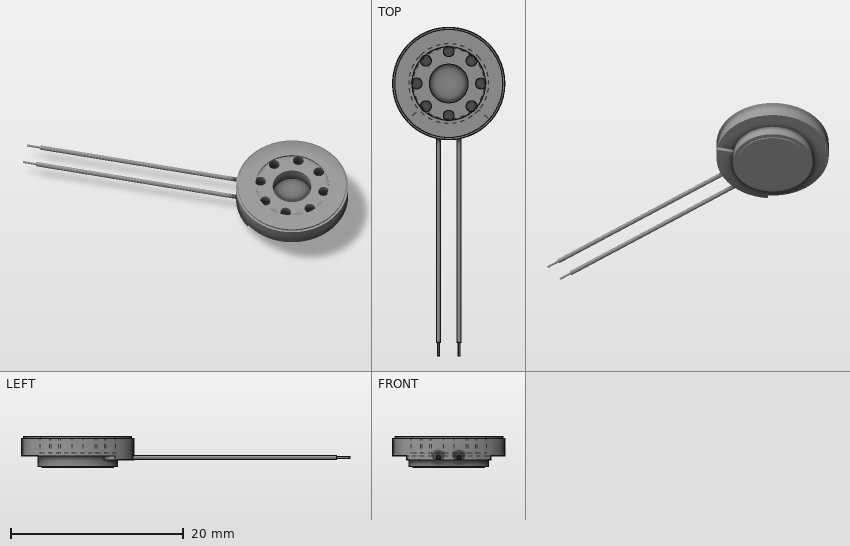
import cadquery as cq
import math

total_height = 3.6
cover_thickness = 0.23
flange_bottom = 1.35
tab_bottom = 0.9
base_lip_height = 0.1

flange_diameter = 13.0
cover_diameter = 12.5
cover_opening_diameter = 8.5
base_diameter = 9.25
base_lip_diameter = 8.25

tab_half_angle = math.radians(48.5)

center_hole_diameter = 4.5
hole_depth = 1.67
port_diameter = 1.25
port_count = 8
port_circle_radius = 3.72

overall_length = 38.0
lead_spacing = 2.4
insulation_diameter = 0.5
conductor_diameter = 0.235
bare_length = 1.55
lead_height = 1.18

flange_radius = flange_diameter / 2
face_z = total_height - cover_thickness
lead_tip_y = flange_radius - overall_length


def disc(diameter, bottom, top):
    """Upright cylinder on the Z axis between two heights."""
    return cq.Workplane("XY").workplane(offset=bottom).circle(diameter / 2).extrude(top - bottom)


def make_body():
    """Flange with a smaller cover ring above it and a stepped base below it."""
    flange = disc(flange_diameter, flange_bottom, face_z)
    cover = disc(cover_diameter, face_z, total_height)
    opening = disc(cover_opening_diameter, face_z, total_height)
    base = disc(base_diameter, base_lip_height, flange_bottom)
    lip = disc(base_lip_diameter, 0, base_lip_height)
    return flange.union(cover.cut(opening)).union(base).union(lip)


def make_tab():
    """Sector of the flange outline, on the -Y side, that hangs below the flange."""
    reach = flange_diameter
    end_x = reach * math.tan(tab_half_angle)
    wedge = (
        cq.Workplane("XY")
        .workplane(offset=tab_bottom)
        .lineTo(-end_x, -reach)
        .lineTo(end_x, -reach)
        .close()
        .extrude(flange_bottom - tab_bottom)
    )
    return wedge.intersect(disc(flange_diameter, tab_bottom, flange_bottom))


def make_holes():
    """Blind center hole and the ring of ports, which reach slightly under the cover."""
    floor_z = face_z - hole_depth
    ports = (
        cq.Workplane("XY")
        .workplane(offset=floor_z)
        .polarArray(port_circle_radius, 0, 360, port_count)
        .circle(port_diameter / 2)
        .extrude(hole_depth)
    )
    return disc(center_hole_diameter, floor_z, face_z).union(ports)


def make_lead(x):
    """Insulated lead running along -Y, with a bare conductor at its tip."""
    start_y = -base_diameter / 2
    insulation_end_y = lead_tip_y + bare_length

    def rod(diameter, end_y):
        return (
            cq.Workplane("XZ", origin=(x, start_y, lead_height))
            .circle(diameter / 2)
            .extrude(start_y - end_y)
        )

    return rod(insulation_diameter, insulation_end_y).union(rod(conductor_diameter, lead_tip_y))


result = make_body().union(make_tab()).cut(make_holes())
for side in (-1, 1):
    result = result.union(make_lead(side * lead_spacing / 2))